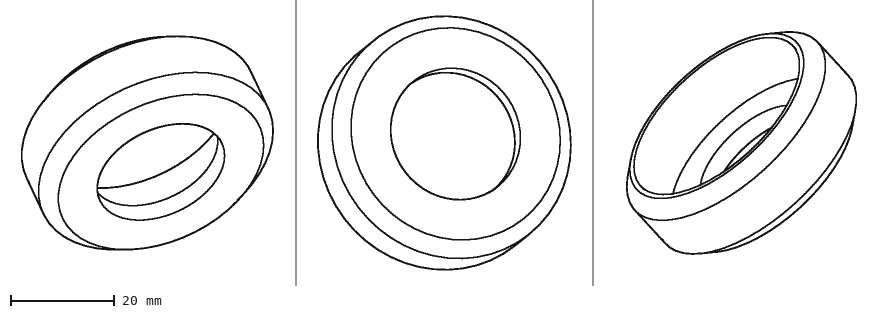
import cadquery as cq

outer_diameter = 48.0
width = 16.0
end_face_diameter = 42.0
recess_diameter = 40.0
recess_depth = 12.0
hole_diameter = 26.0

chamfer = (outer_diameter - end_face_diameter) / 2


def disc(diameter, length):
    """Cylinder along X, starting on the open face of the ring."""
    open_face = cq.Workplane("YZ").workplane(offset=-width / 2)
    return open_face.circle(diameter / 2).extrude(length)


body = disc(outer_diameter, width).faces("<X or >X").edges().chamfer(chamfer)
recess = disc(recess_diameter, recess_depth)
through_hole = disc(hole_diameter, width)

result = body.cut(recess).cut(through_hole)